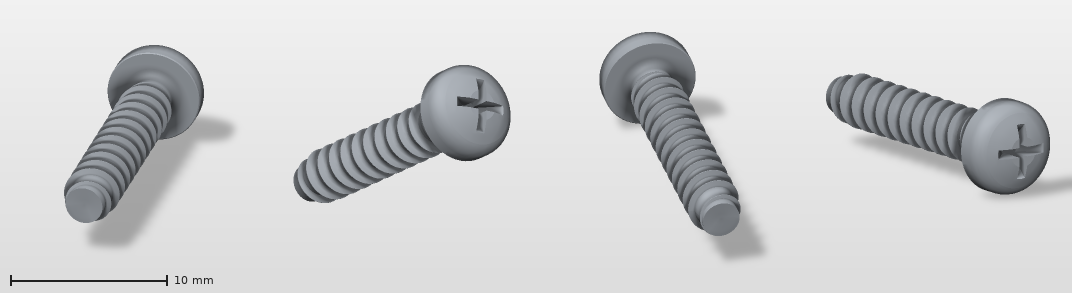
import cadquery as cq
import math

total_length = 19.65

head_diameter = 6.1
head_height = 2.63
rim_height = 1.0
rim_chamfer = 0.05
shoulder_radius = 1.22
shoulder_angle = math.radians(58.5)

recess_diameter = 3.62
recess_rim_drop = 0.25
recess_depth = 1.57
recess_floor_diameter = 1.18
wing_width = 0.63

neck_diameter = 2.8
neck_length = 0.86
neck_fillet = 0.5
core_diameter = 2.44
tip_dimple_depth = 0.1

thread_diameter = 3.52
thread_root_diameter = 2.73
flank_kink_diameter = 2.87
pitch = 12.91 / 10
full_turns = 12
crest_width = 0.04
lead_flank_length = 0.15
kink_offset = 0.12
trail_root_offset = 0.41
turn_gap = 0.04
root_overlap = 0.02
rib_inset = 0.14

sink_height = 1.61
sink_turns = 1.3
sink_angle = math.degrees(math.atan(0.33))

fade_in_length = 1.57
fade_in_middle_diameter = 3.22
fade_in_middle_length = 0.4
crest_clearance = 0.04
neck_overlap = 0.1
tip_margin = 0.12

head_radius = head_diameter / 2
neck_radius = neck_diameter / 2
core_radius = core_diameter / 2
thread_radius = thread_diameter / 2
tip_z = head_height - total_length


def make_head():
    """Disc with a chamfered lower rim, a rounded shoulder and a flat-topped crown."""
    shoulder_centre = head_radius - shoulder_radius

    crown_radius = shoulder_radius + shoulder_centre / math.cos(shoulder_angle)
    crown_centre_z = rim_height - shoulder_centre * math.tan(shoulder_angle)
    flat_angle = math.asin((head_height - crown_centre_z) / crown_radius)

    def on_shoulder(angle):
        return (
            shoulder_centre + shoulder_radius * math.cos(angle),
            rim_height + shoulder_radius * math.sin(angle),
        )

    def on_crown(angle):
        return (crown_radius * math.cos(angle), crown_centre_z + crown_radius * math.sin(angle))

    return (
        cq.Workplane("XZ")
        .lineTo(head_radius - rim_chamfer, 0)
        .lineTo(head_radius, rim_chamfer)
        .lineTo(head_radius, rim_height)
        .threePointArc(on_shoulder(shoulder_angle / 2), on_shoulder(shoulder_angle))
        .threePointArc(on_crown((shoulder_angle + flat_angle) / 2), on_crown(flat_angle))
        .lineTo(0, head_height)
        .close()
        .revolve(360, (0, 0), (0, 1))
    )


def make_cross_recess():
    """Two crossed wings whose outer ends slope inwards towards the floor."""
    floor_z = head_height - recess_depth
    rim_radius = recess_diameter / 2
    floor_radius = recess_floor_diameter / 2
    slope = (rim_radius - floor_radius) / (recess_depth - recess_rim_drop)
    top_radius = rim_radius + slope * recess_rim_drop

    taper = (
        cq.Workplane("XY", origin=(0, 0, floor_z))
        .circle(floor_radius)
        .workplane(offset=recess_depth)
        .circle(top_radius)
        .loft()
    )
    wings = (
        cq.Workplane("XY", origin=(0, 0, floor_z))
        .rect(head_diameter, wing_width)
        .extrude(recess_depth)
        .union(
            cq.Workplane("XY", origin=(0, 0, floor_z))
            .rect(wing_width, head_diameter)
            .extrude(recess_depth)
        )
    )
    return wings.intersect(taper)


def make_shank():
    """Filleted neck and thinner core in one revolve, with a shallow conical dimple in the tip."""
    bend = neck_fillet * (1 - math.sqrt(0.5))
    return (
        cq.Workplane("XZ")
        .lineTo(neck_radius + neck_fillet, 0)
        .threePointArc((neck_radius + bend, -bend), (neck_radius, -neck_fillet))
        .lineTo(neck_radius, -neck_length)
        .lineTo(core_radius, -neck_length)
        .lineTo(core_radius, tip_z)
        .lineTo(0, tip_z + tip_dimple_depth)
        .close()
        .revolve(360, (0, 0), (0, 1))
    )


def thread_profile(crest_z):
    """Rib section: filleted trailing flank, narrow crest, leading flank and tapering root."""
    root_radius = core_radius - root_overlap
    inner_radius = core_radius - rib_inset
    kink_radius = flank_kink_diameter / 2
    trail_z = crest_z + trail_root_offset
    root_end_z = trail_z - pitch + turn_gap

    fillet_length = trail_root_offset - kink_offset
    fillet_rise = kink_radius - root_radius
    fillet_radius = (fillet_length**2 + fillet_rise**2) / (2 * fillet_rise)

    return (
        cq.Workplane("XZ")
        .moveTo(inner_radius, trail_z)
        .lineTo(root_radius, trail_z)
        .radiusArc((kink_radius, crest_z + kink_offset), -fillet_radius)
        .lineTo(thread_radius, crest_z + crest_width / 2)
        .lineTo(thread_radius, crest_z - crest_width / 2)
        .lineTo(thread_root_diameter / 2, crest_z - lead_flank_length)
        .lineTo(root_radius, root_end_z)
        .lineTo(inner_radius, root_end_z)
        .close()
    )


def make_thread():
    """Right-hand helical rib, continued at the tip along a conical helix that sinks into the core."""
    start_z = tip_z + sink_height
    start = cq.Vector(0, 0, start_z)

    helix = cq.Wire.makeHelix(pitch, full_turns * pitch, thread_radius, start)
    rib = thread_profile(start_z).sweep(helix, isFrenet=True)

    down = cq.Vector(0, 0, -0.2)
    slant_pitch = pitch / math.cos(math.radians(sink_angle))
    slant_length = sink_turns * slant_pitch
    sinking_helix = cq.Wire.makeHelix(slant_pitch, slant_length, thread_radius, start, down, -sink_angle)
    sinking_rib = thread_profile(start_z).sweep(sinking_helix.rotate(start, start + down, 180), isFrenet=True)

    return [part.rotate((0, 0, 0), (0, 0, 1), 180) for part in (rib, sinking_rib)]


def make_thread_envelope():
    """Solid of revolution that the thread may fill: tapered below the neck, flat at the tip."""
    outer_radius = thread_radius + crest_clearance
    return (
        cq.Workplane("XZ")
        .moveTo(0, neck_overlap - neck_length)
        .lineTo(core_radius, neck_overlap - neck_length)
        .lineTo(neck_radius, -neck_length)
        .lineTo(fade_in_middle_diameter / 2, -neck_length - fade_in_middle_length)
        .lineTo(outer_radius, -neck_length - fade_in_length)
        .lineTo(outer_radius, tip_z + tip_margin)
        .lineTo(0, tip_z + tip_margin)
        .close()
        .revolve(360, (0, 0), (0, 1))
    )


screw = make_head().cut(make_cross_recess()).union(make_shank())
envelope = make_thread_envelope()
for rib in make_thread():
    screw = screw.union(rib.intersect(envelope), clean=False)
result = screw.rotate((0, 0, 0), (1, 0, 0), -90)